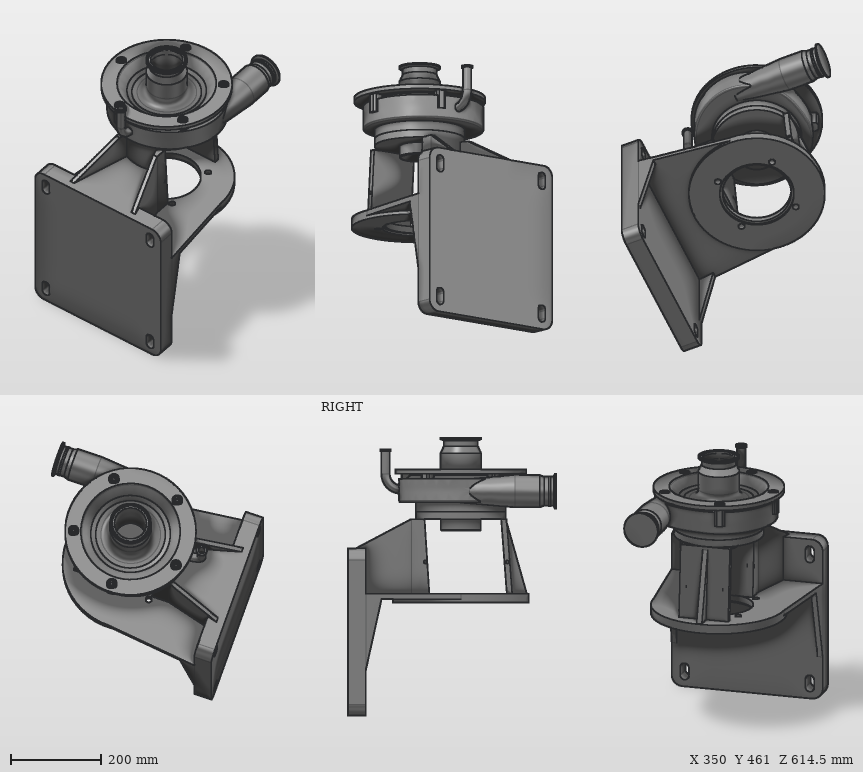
import cadquery as cq
import math


WALL_WIDTH = 350.0
WALL_HEIGHT = 370.0
WALL_THICKNESS = 40.0
WALL_BACK_Y = -250.0
WALL_FACE_Y = WALL_BACK_Y + WALL_THICKNESS
WALL_CORNER_RADIUS = 25.0
SLOT_LENGTH = 38.0
SLOT_WIDTH = 20.0
SLOT_SPACING_X = 290.0
SLOT_SPACING_Z = 300.0

SHELF_TOP_Z = 270.0
SHELF_THICKNESS = 12.0
MOTOR_FLANGE_THICKNESS = 20.0
MOTOR_FLANGE_RADIUS = 150.5
MOTOR_BORE_RADIUS = 76.0
MOTOR_REGISTER_RADIUS = 82.0
MOTOR_REGISTER_DEPTH = 5.0
MOTOR_BOLT_CIRCLE_RADIUS = 92.5
MOTOR_BOLT_DIAMETER = 14.0
MOTOR_BOLT_COUNT = 4
MOTOR_BOLT_FIRST_ANGLE = 45.0

LOWER_GUSSET_THICKNESS = 12.0
LOWER_GUSSET_REACH = 35.0
LOWER_GUSSET_BOTTOM_Z = 100.0

RING_RADIUS = 99.5
UPPER_RING_RADIUS = 99.8
RING_BOTTOM_Z = 435.0
LEG_HALF_WIDTH = 57.0
FRONT_LEG_THICKNESS = 12.0
FRONT_LEG_TOP_Y = 89.0
FRONT_LEG_BOTTOM_Y = 101.5
FRONT_RIB_THICKNESS = 12.0
FRONT_RIB_BOTTOM_Y = 146.0
REAR_LEG_TOP_Y = -80.0
REAR_LEG_BOTTOM_Y = -69.5
REAR_LEG_BACK_Y = -109.5
REAR_GUSSET_ANGLE = 15.0
REAR_GUSSET_THICKNESS = 10.0
REAR_GUSSET_END_Y = -232.5
GUARD_HOLE_DIAMETER = 7.0
GUARD_HOLE_DEPTH = 15.0
GUARD_HOLE_Z = 340.0
GUARD_HOLE_FRONT_Y = 103.0
GUARD_HOLE_REAR_Y = -78.5

HUB_RADIUS = 44.5
HUB_BOTTOM_Z = 409.0
HUB_CHAMFER = 2.0
UPPER_RING_BOTTOM_Z = 451.5
CASING_BOTTOM_Z = 472.0
CASING_TOP_Z = 523.5
CASING_BOTTOM_FILLET = 4.0
VOLUTE_START_RADIUS = 121.0
VOLUTE_END_RADIUS = 144.5
VOLUTE_START_ANGLE = 90.0
VOLUTE_END_ANGLE = 360.0
NECK_RADIUS = 112.0
NECK_CONE_TOP_Z = 532.0

COVER_RADIUS = 145.0
COVER_BOTTOM_Z = 535.0
COVER_TOP_Z = 544.5
DISH_RIM_RADIUS = 110.0
DISH_RIM_CHAMFER = 2.0
DISH_CONE_RADIUS = 88.0
DISH_CONE_Z = 523.0
DISH_FLOOR_OUTER_RADIUS = 77.0
DISH_FLOOR_INNER_RADIUS = 66.0
DISH_FLOOR_Z = 519.0

COVER_SCREW_COUNT = 5
COVER_SCREW_CIRCLE_RADIUS = 126.0
COVER_SCREW_FIRST_ANGLE = 36.0
COUNTERBORE_DIAMETER = 22.0
COUNTERBORE_DEPTH = 8.0
SCREW_HEAD_DIAMETER = 15.0
SCREW_HEAD_TOP_GAP = 1.0
SCREW_SOCKET_ACROSS_CORNERS = 8.0
SCREW_SOCKET_DEPTH = 5.0
LUG_WIDTH = 22.0
LUG_FACE_WIDTH = 12.0
LUG_REACH = 10.5
LUG_CORNER_DEPTH = 3.5
LUG_BOTTOM_Z = 495.0

INLET_RADIUS = 45.5
INLET_NECK_RADIUS = 38.0
INLET_BORE_RADIUS = 35.5
INLET_BORE_BOTTOM_Z = 480.0
INLET_CONE_BOTTOM_Z = 580.0
INLET_CONE_TOP_Z = 596.0
INLET_FERRULE_RADIUS = 45.5
INLET_FERRULE_THICKNESS = 3.0
INLET_TOP_Z = 614.5
FERRULE_TAPER = 3.0
GASKET_GROOVE_INNER_RADIUS = 40.5
GASKET_GROOVE_OUTER_RADIUS = 43.0
GASKET_GROOVE_DEPTH = 1.0

OUTLET_X = 115.0
OUTLET_Z = 496.5
OUTLET_END_Y = 211.0
OUTLET_RADIUS = 36.0
OUTLET_PIPE_START_Y = 119.0
OUTLET_THROAT_RADIUS = 25.5
OUTLET_CONE_START_Y = 174.0
OUTLET_CONE_END_Y = 184.0
OUTLET_NECK_RADIUS = 32.5
OUTLET_COLLAR_RADIUS = 33.5
OUTLET_COLLAR_START_Y = 194.0
OUTLET_COLLAR_END_Y = 198.5
OUTLET_FERRULE_RADIUS = 39.0
OUTLET_FERRULE_THICKNESS = 3.0

DRAIN_RADIUS = 9.5
DRAIN_BORE_RADIUS = 7.0
DRAIN_Y = -166.5
DRAIN_Z = 500.0
DRAIN_BEND_RADIUS = 35.0
DRAIN_TOP_Z = 589.0
DRAIN_FLANGE_RADIUS = 12.0
DRAIN_FLANGE_THICKNESS = 4.0
DRAIN_INNER_Y = -125.0


def cylinder(radius, bottom_z, top_z, x=0.0, y=0.0):
    """Vertical cylinder between two heights."""
    return cq.Workplane("XY", origin=(x, y, bottom_z)).circle(radius).extrude(top_z - bottom_z)


def polar_point(radius, angle):
    """Point in the XY plane at an angle given in degrees."""
    return radius * math.cos(math.radians(angle)), radius * math.sin(math.radians(angle))


def slab_across_x(side_outline, half_width):
    """Extrude a (y, z) outline symmetrically about the YZ plane."""
    return cq.Workplane("YZ").polyline(side_outline).close().extrude(half_width, both=True)


def make_wall():
    """Vertical mounting plate with four slotted holes."""
    center_z = WALL_HEIGHT / 2
    face = cq.Workplane("XZ", origin=(0, WALL_FACE_Y, center_z))
    wall = face.rect(WALL_WIDTH, WALL_HEIGHT).extrude(WALL_THICKNESS).edges("|Y").fillet(WALL_CORNER_RADIUS)
    slots = (
        face.rect(SLOT_SPACING_X, SLOT_SPACING_Z, forConstruction=True)
        .vertices()
        .slot2D(SLOT_LENGTH, SLOT_WIDTH, 90)
        .extrude(WALL_THICKNESS)
    )
    return wall.cut(slots)


def make_shelf():
    """Horizontal plate with a thicker round motor flange."""
    corner_x = WALL_WIDTH / 2
    plate = (
        cq.Workplane("XY", origin=(0, 0, SHELF_TOP_Z - SHELF_THICKNESS))
        .moveTo(-corner_x, WALL_FACE_Y)
        .lineTo(corner_x, WALL_FACE_Y)
        .lineTo(MOTOR_FLANGE_RADIUS, 0)
        .threePointArc((0, MOTOR_FLANGE_RADIUS), (-MOTOR_FLANGE_RADIUS, 0))
        .close()
        .extrude(SHELF_THICKNESS)
    )
    flange_bottom_z = SHELF_TOP_Z - MOTOR_FLANGE_THICKNESS
    return plate.union(cylinder(MOTOR_FLANGE_RADIUS, flange_bottom_z, SHELF_TOP_Z))


def make_motor_holes():
    """Central bore, its register recess from below and four bolt holes."""
    flange_bottom_z = SHELF_TOP_Z - MOTOR_FLANGE_THICKNESS
    bore = cylinder(MOTOR_BORE_RADIUS, flange_bottom_z, SHELF_TOP_Z)
    register = cylinder(MOTOR_REGISTER_RADIUS, flange_bottom_z, flange_bottom_z + MOTOR_REGISTER_DEPTH)
    bolts = (
        cq.Workplane("XY", origin=(0, 0, SHELF_TOP_Z))
        .polarArray(MOTOR_BOLT_CIRCLE_RADIUS, MOTOR_BOLT_FIRST_ANGLE, 360, MOTOR_BOLT_COUNT)
        .circle(MOTOR_BOLT_DIAMETER / 2)
        .extrude(-MOTOR_FLANGE_THICKNESS)
    )
    return bore.union(register).union(bolts)


def make_lower_gussets():
    """Triangular gussets under the shelf, flush with its two slanted side edges."""
    corner_x = WALL_WIDTH / 2
    slope = (corner_x - MOTOR_FLANGE_RADIUS) / abs(WALL_FACE_Y)
    reach_y = WALL_FACE_Y + LOWER_GUSSET_REACH
    shelf_bottom_z = SHELF_TOP_Z - SHELF_THICKNESS
    side_outline = [
        (reach_y, shelf_bottom_z),
        (WALL_FACE_Y, LOWER_GUSSET_BOTTOM_Z),
        (WALL_FACE_Y, shelf_bottom_z),
    ]
    profile = slab_across_x(side_outline, WALL_WIDTH / 2)
    reach_x = corner_x - slope * LOWER_GUSSET_REACH
    footprint = [
        (corner_x, WALL_FACE_Y),
        (reach_x, reach_y),
        (reach_x - LOWER_GUSSET_THICKNESS, reach_y),
        (corner_x - LOWER_GUSSET_THICKNESS, WALL_FACE_Y),
    ]
    strip = cq.Workplane("XY").polyline(footprint).close().extrude(shelf_bottom_z)
    return profile.intersect(strip.union(strip.mirror("YZ")))


def make_front_leg():
    """Leaning plate on the +Y side, stiffened by a central triangular rib."""
    plate = slab_across_x(
        [
            (FRONT_LEG_BOTTOM_Y, SHELF_TOP_Z),
            (FRONT_LEG_TOP_Y, RING_BOTTOM_Z),
            (FRONT_LEG_TOP_Y + FRONT_LEG_THICKNESS, RING_BOTTOM_Z),
            (FRONT_LEG_BOTTOM_Y + FRONT_LEG_THICKNESS, SHELF_TOP_Z),
        ],
        LEG_HALF_WIDTH,
    )
    rib = slab_across_x(
        [
            (FRONT_LEG_BOTTOM_Y, SHELF_TOP_Z),
            (FRONT_LEG_TOP_Y, RING_BOTTOM_Z),
            (RING_RADIUS, RING_BOTTOM_Z),
            (FRONT_RIB_BOTTOM_Y, SHELF_TOP_Z),
        ],
        FRONT_RIB_THICKNESS / 2,
    )
    return plate.union(rib)


def make_rear_support():
    """Rear leg, the two splayed gussets behind it and the block between them."""
    spread = math.tan(math.radians(REAR_GUSSET_ANGLE))
    strip_width = REAR_GUSSET_THICKNESS / math.cos(math.radians(REAR_GUSSET_ANGLE))
    end_x = LEG_HALF_WIDTH + spread * (REAR_LEG_BACK_Y - REAR_GUSSET_END_Y)
    front_x = LEG_HALF_WIDTH - strip_width

    gusset_profile = slab_across_x(
        [
            (REAR_LEG_TOP_Y, SHELF_TOP_Z),
            (REAR_LEG_TOP_Y, RING_BOTTOM_Z),
            (REAR_LEG_BACK_Y, RING_BOTTOM_Z),
            (REAR_GUSSET_END_Y, WALL_HEIGHT),
            (REAR_GUSSET_END_Y, SHELF_TOP_Z),
        ],
        end_x,
    )
    inner_start_x = front_x - spread * (REAR_LEG_TOP_Y - REAR_LEG_BACK_Y)
    strip = (
        cq.Workplane("XY", origin=(0, 0, SHELF_TOP_Z))
        .polyline(
            [
                (inner_start_x, REAR_LEG_TOP_Y),
                (LEG_HALF_WIDTH, REAR_LEG_TOP_Y),
                (LEG_HALF_WIDTH, REAR_LEG_BACK_Y),
                (end_x, REAR_GUSSET_END_Y),
                (end_x - strip_width, REAR_GUSSET_END_Y),
            ]
        )
        .close()
        .extrude(RING_BOTTOM_Z - SHELF_TOP_Z)
    )
    gussets = gusset_profile.intersect(strip.union(strip.mirror("YZ")))

    leg = slab_across_x(
        [
            (REAR_LEG_BOTTOM_Y, SHELF_TOP_Z),
            (REAR_LEG_TOP_Y, RING_BOTTOM_Z),
            (-RING_RADIUS, RING_BOTTOM_Z),
            (-RING_RADIUS, SHELF_TOP_Z),
        ],
        LEG_HALF_WIDTH,
    ).intersect(cylinder(RING_RADIUS, SHELF_TOP_Z, RING_BOTTOM_Z))

    block = (
        cq.Workplane("XY", origin=(0, 0, SHELF_TOP_Z))
        .polyline(
            [
                (-inner_start_x, REAR_LEG_TOP_Y),
                (inner_start_x, REAR_LEG_TOP_Y),
                (end_x - strip_width, REAR_GUSSET_END_Y),
                (strip_width - end_x, REAR_GUSSET_END_Y),
            ]
        )
        .close()
        .extrude(WALL_HEIGHT - SHELF_TOP_Z)
    )
    return gussets.union(leg).union(block)


def make_guard_holes():
    """Small blind holes in both side faces of each leg."""
    hole = (
        cq.Workplane("YZ", origin=(-LEG_HALF_WIDTH, 0, GUARD_HOLE_Z))
        .pushPoints([(GUARD_HOLE_FRONT_Y, 0), (GUARD_HOLE_REAR_Y, 0)])
        .circle(GUARD_HOLE_DIAMETER / 2)
        .extrude(GUARD_HOLE_DEPTH)
    )
    return hole.union(hole.mirror("YZ"))


def volute_point(angle):
    """Point on the volute spiral, whose radius grows steadily with the angle in degrees."""
    turn = (angle - VOLUTE_START_ANGLE) / (VOLUTE_END_ANGLE - VOLUTE_START_ANGLE)
    radius = VOLUTE_START_RADIUS + turn * (VOLUTE_END_RADIUS - VOLUTE_START_RADIUS)
    return polar_point(radius, angle)


def make_casing():
    """Adapter ring, shaft hub, spiral volute and the neck below the cover."""
    hub = cylinder(HUB_RADIUS, HUB_BOTTOM_Z, RING_BOTTOM_Z).faces("<Z").chamfer(HUB_CHAMFER)
    lower_ring = cylinder(RING_RADIUS, RING_BOTTOM_Z, UPPER_RING_BOTTOM_Z)
    upper_ring = cylinder(UPPER_RING_RADIUS, UPPER_RING_BOTTOM_Z, CASING_BOTTOM_Z)
    neck_outline = [
        (0, CASING_TOP_Z),
        (VOLUTE_START_RADIUS, CASING_TOP_Z),
        (NECK_RADIUS, NECK_CONE_TOP_Z),
        (NECK_RADIUS, COVER_BOTTOM_Z),
        (0, COVER_BOTTOM_Z),
    ]
    neck = cq.Workplane("XZ").polyline(neck_outline).close().revolve(360, (0, 0), (0, 1))

    spiral_steps = 6
    step_angle = (VOLUTE_END_ANGLE - VOLUTE_START_ANGLE) / spiral_steps
    spiral = [volute_point(VOLUTE_START_ANGLE + i * step_angle) for i in range(spiral_steps + 1)]
    mean_radius = (VOLUTE_START_RADIUS + VOLUTE_END_RADIUS) / 2
    outlet_blend = polar_point(mean_radius, VOLUTE_START_ANGLE / 2)
    volute = (
        cq.Workplane("XY", origin=(0, 0, CASING_BOTTOM_Z))
        .spline(spiral + [outlet_blend], periodic=True)
        .close()
        .extrude(CASING_TOP_Z - CASING_BOTTOM_Z)
        .faces("<Z")
        .edges()
        .fillet(CASING_BOTTOM_FILLET)
    )
    return hub.union(lower_ring).union(upper_ring).union(volute).union(neck)


def make_outlet():
    """Tangential outlet: tapered throat, straight pipe, reducer and end ferrule along +Y."""
    ferrule_y = OUTLET_END_Y - OUTLET_FERRULE_THICKNESS
    outline = [
        (0, 0),
        (OUTLET_THROAT_RADIUS, 0),
        (OUTLET_RADIUS, OUTLET_PIPE_START_Y),
        (OUTLET_RADIUS, OUTLET_CONE_START_Y),
        (OUTLET_NECK_RADIUS, OUTLET_CONE_END_Y),
        (OUTLET_NECK_RADIUS, OUTLET_COLLAR_START_Y),
        (OUTLET_COLLAR_RADIUS, OUTLET_COLLAR_START_Y),
        (OUTLET_COLLAR_RADIUS, OUTLET_COLLAR_END_Y),
        (OUTLET_NECK_RADIUS, OUTLET_COLLAR_END_Y),
        (OUTLET_NECK_RADIUS, ferrule_y - FERRULE_TAPER),
        (OUTLET_FERRULE_RADIUS, ferrule_y),
        (OUTLET_FERRULE_RADIUS, OUTLET_END_Y),
        (0, OUTLET_END_Y),
    ]
    profile = cq.Workplane("XY", origin=(OUTLET_X, 0, OUTLET_Z)).polyline(outline).close()
    return profile.revolve(360, (0, 0), (0, 1))


def make_cover_and_inlet():
    """Round front cover with the vertical inlet tube and its ferrule."""
    ferrule_z = INLET_TOP_Z - INLET_FERRULE_THICKNESS
    profile = (
        cq.Workplane("XZ")
        .moveTo(0, COVER_BOTTOM_Z)
        .lineTo(COVER_RADIUS, COVER_BOTTOM_Z)
        .lineTo(COVER_RADIUS, COVER_TOP_Z)
        .lineTo(INLET_RADIUS, COVER_TOP_Z)
        .lineTo(INLET_RADIUS, INLET_CONE_BOTTOM_Z)
        .lineTo(INLET_NECK_RADIUS, INLET_CONE_TOP_Z)
        .lineTo(INLET_NECK_RADIUS, ferrule_z - FERRULE_TAPER)
        .lineTo(INLET_FERRULE_RADIUS, ferrule_z)
        .lineTo(INLET_FERRULE_RADIUS, INLET_TOP_Z)
        .lineTo(0, INLET_TOP_Z)
        .close()
    )
    return profile.revolve(360, (0, 0), (0, 1))


def make_dish():
    """Ring-shaped hollow around the inlet tube, blending into the tube with a round fillet."""
    blend_radius = DISH_FLOOR_INNER_RADIUS - INLET_RADIUS
    blend_offset = blend_radius * (1 - math.cos(math.pi / 4))
    profile = (
        cq.Workplane("XZ")
        .moveTo(DISH_RIM_RADIUS, COVER_TOP_Z)
        .lineTo(DISH_RIM_RADIUS - DISH_RIM_CHAMFER, COVER_TOP_Z - DISH_RIM_CHAMFER)
        .lineTo(DISH_CONE_RADIUS, DISH_CONE_Z)
        .lineTo(DISH_FLOOR_OUTER_RADIUS, DISH_FLOOR_Z)
        .lineTo(DISH_FLOOR_INNER_RADIUS, DISH_FLOOR_Z)
        .threePointArc(
            (INLET_RADIUS + blend_offset, DISH_FLOOR_Z + blend_offset),
            (INLET_RADIUS, DISH_FLOOR_Z + blend_radius),
        )
        .lineTo(INLET_RADIUS, COVER_TOP_Z)
        .close()
    )
    return profile.revolve(360, (0, 0), (0, 1))


def cover_screw_angles():
    """Angles of the cover screws, in degrees."""
    step = 360.0 / COVER_SCREW_COUNT
    return [COVER_SCREW_FIRST_ANGLE + i * step for i in range(COVER_SCREW_COUNT)]


def make_lugs():
    """Blocks under the cover, one per screw, with their outer corners bevelled."""
    outline = [
        (-LUG_REACH, -LUG_WIDTH / 2),
        (LUG_REACH - LUG_CORNER_DEPTH, -LUG_WIDTH / 2),
        (LUG_REACH, -LUG_FACE_WIDTH / 2),
        (LUG_REACH, LUG_FACE_WIDTH / 2),
        (LUG_REACH - LUG_CORNER_DEPTH, LUG_WIDTH / 2),
        (-LUG_REACH, LUG_WIDTH / 2),
    ]
    lug = (
        cq.Workplane("XY", origin=(COVER_SCREW_CIRCLE_RADIUS, 0, LUG_BOTTOM_Z))
        .polyline(outline)
        .close()
        .extrude(COVER_BOTTOM_Z - LUG_BOTTOM_Z)
    )
    lugs = cq.Workplane("XY")
    for angle in cover_screw_angles():
        lugs = lugs.add(lug.rotate((0, 0, 0), (0, 0, 1), angle))
    return lugs.combine()


def make_gasket_groove():
    """Shallow ring groove in the end face of the inlet ferrule."""
    face = cq.Workplane("XY", origin=(0, 0, INLET_TOP_Z))
    ring = face.circle(GASKET_GROOVE_OUTER_RADIUS).circle(GASKET_GROOVE_INNER_RADIUS)
    return ring.extrude(-GASKET_GROOVE_DEPTH)


def make_screw_recesses():
    """Counterbores around the socket heads, with the hexagon sockets."""
    centers = [polar_point(COVER_SCREW_CIRCLE_RADIUS, angle) for angle in cover_screw_angles()]
    top = cq.Workplane("XY", origin=(0, 0, COVER_TOP_Z)).pushPoints(centers)
    head_top_z = COVER_TOP_Z - SCREW_HEAD_TOP_GAP
    head_plane = cq.Workplane("XY", origin=(0, 0, head_top_z)).pushPoints(centers)
    counterbores = top.circle(COUNTERBORE_DIAMETER / 2).extrude(-COUNTERBORE_DEPTH)
    heads = head_plane.circle(SCREW_HEAD_DIAMETER / 2).extrude(SCREW_HEAD_TOP_GAP - COUNTERBORE_DEPTH)
    sockets = head_plane.polygon(6, SCREW_SOCKET_ACROSS_CORNERS).extrude(-SCREW_SOCKET_DEPTH)
    return counterbores.cut(heads).union(sockets)


def drain_sweep(radius):
    """Round bar following the drain elbow from the casing up to its open end."""
    bend_shift = DRAIN_BEND_RADIUS * math.cos(math.pi / 4)
    bend_center_y = DRAIN_Y + DRAIN_BEND_RADIUS
    bend_center_z = DRAIN_Z + DRAIN_BEND_RADIUS
    path = (
        cq.Workplane("YZ")
        .moveTo(DRAIN_Y, DRAIN_TOP_Z)
        .lineTo(DRAIN_Y, bend_center_z)
        .threePointArc((bend_center_y - bend_shift, bend_center_z - bend_shift), (bend_center_y, DRAIN_Z))
        .lineTo(DRAIN_INNER_Y, DRAIN_Z)
    )
    return cq.Workplane("XY", origin=(0, DRAIN_Y, DRAIN_TOP_Z)).circle(radius).sweep(path)


def make_drain():
    """Drain elbow with a small end flange."""
    flange = cylinder(DRAIN_FLANGE_RADIUS, DRAIN_TOP_Z - DRAIN_FLANGE_THICKNESS, DRAIN_TOP_Z, y=DRAIN_Y)
    return drain_sweep(DRAIN_RADIUS).union(flange)


bracket = (
    make_wall()
    .union(make_shelf())
    .union(make_lower_gussets())
    .union(make_front_leg())
    .union(make_rear_support())
    .cut(make_motor_holes())
    .cut(make_guard_holes())
)

pump = (
    make_casing()
    .union(make_outlet())
    .union(make_lugs())
    .union(make_drain())
    .union(make_cover_and_inlet())
    .cut(make_dish())
    .cut(make_screw_recesses())
    .cut(cylinder(INLET_BORE_RADIUS, INLET_BORE_BOTTOM_Z, INLET_TOP_Z))
    .cut(make_gasket_groove())
    .cut(drain_sweep(DRAIN_BORE_RADIUS))
)

result = bracket.union(pump)